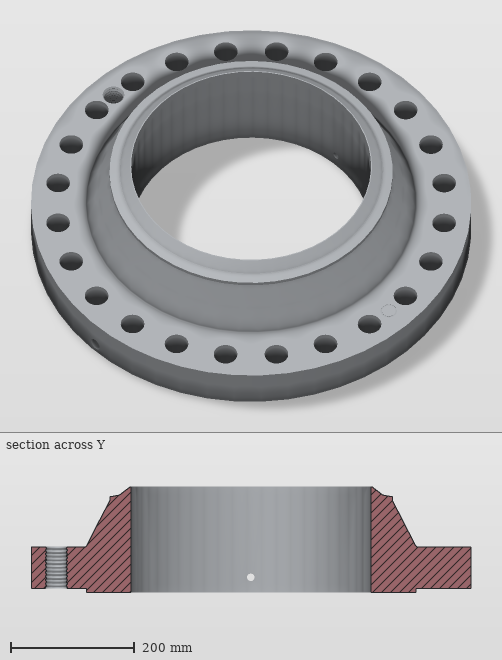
import cadquery as cq
import math

FLANGE_DIAMETER = 711.2
RAISED_FACE_DIAMETER = 533.4
RAISED_FACE_HEIGHT = 6.35
FLANGE_TOP = 74.6

TOTAL_HEIGHT = 171.45
HUB_BASE_DIAMETER = RAISED_FACE_DIAMETER
HUB_BASE_FILLET = 3.0
WELD_END_DIAMETER = 457.2
BORE_DIAMETER = 387.35
HUB_CYLINDER_BOTTOM = 149.0

WELD_LAND_WIDTH = 1.6
STEEP_BEVEL_WALL = 19.0
STEEP_BEVEL_ANGLE = 37.5
SHALLOW_BEVEL_ANGLE = 10.0
BEVEL_FILLET = 4.0

BOLT_HOLE_COUNT = 24
BOLT_HOLE_DIAMETER = 38.1
BOLT_CIRCLE_DIAMETER = 628.65

JACK_THREAD_MAJOR = 35.0
JACK_THREAD_MINOR = 31.0
JACK_THREAD_PITCH = 6.0

RING_GROOVE_OUTER = 26.5
RING_GROOVE_INNER = 22.0
RING_GROOVE_DEPTH = 0.5

TAP_HEIGHT = 24.5
TAP_BORE_DIAMETER = 12.0
TAP_THREAD_MAJOR = 20.9
TAP_THREAD_MINOR = 17.0
TAP_THREAD_PITCH = 1.814
TAP_THREAD_TURNS = 12

BORE_RADIUS = BORE_DIAMETER / 2
BOLT_CIRCLE_RADIUS = BOLT_CIRCLE_DIAMETER / 2
FLANGE_RADIUS = FLANGE_DIAMETER / 2


def bevel_drop(width, angle):
    """Axial drop of a bevel that spans a radial width."""
    return width * math.tan(math.radians(angle))


def fillet_circle(body, radius, height, fillet):
    """Round the circular edge that lies at a given radius and height."""
    margin = 0.1
    outer, inner = radius + margin, radius - margin
    edge = cq.selectors.BoxSelector(
        (-outer, -outer, height - margin), (outer, outer, height + margin), boundingbox=True
    )
    core = cq.selectors.BoxSelector(
        (-inner, -inner, height - margin), (inner, inner, height + margin), boundingbox=True
    )
    return body.edges(edge - core).fillet(fillet)


def make_body():
    """Revolved flange, hub and weld end, with the bore through the middle."""
    weld_end_radius = WELD_END_DIAMETER / 2
    hub_base_radius = HUB_BASE_DIAMETER / 2
    land_radius = BORE_RADIUS + WELD_LAND_WIDTH
    bevel_radius = BORE_RADIUS + STEEP_BEVEL_WALL
    bevel_break = TOTAL_HEIGHT - bevel_drop(bevel_radius - land_radius, STEEP_BEVEL_ANGLE)
    bevel_foot = bevel_break - bevel_drop(weld_end_radius - bevel_radius, SHALLOW_BEVEL_ANGLE)
    profile = [
        (BORE_RADIUS, 0),
        (RAISED_FACE_DIAMETER / 2, 0),
        (RAISED_FACE_DIAMETER / 2, RAISED_FACE_HEIGHT),
        (FLANGE_RADIUS, RAISED_FACE_HEIGHT),
        (FLANGE_RADIUS, FLANGE_TOP),
        (hub_base_radius, FLANGE_TOP),
        (weld_end_radius, HUB_CYLINDER_BOTTOM),
        (weld_end_radius, bevel_foot),
        (bevel_radius, bevel_break),
        (land_radius, TOTAL_HEIGHT),
        (BORE_RADIUS, TOTAL_HEIGHT),
    ]
    body = cq.Workplane("XZ").polyline(profile).close().revolve(360, (0, 0, 0), (0, 1, 0))
    body = fillet_circle(body, hub_base_radius, FLANGE_TOP, HUB_BASE_FILLET)
    return fillet_circle(body, bevel_radius, bevel_break, BEVEL_FILLET)


def bolt_holes():
    """Cutter for the ring of bolt holes."""
    half_pitch = 180 / BOLT_HOLE_COUNT
    return (
        cq.Workplane("XY")
        .polarArray(BOLT_CIRCLE_RADIUS, half_pitch, 360, BOLT_HOLE_COUNT)
        .circle(BOLT_HOLE_DIAMETER / 2)
        .extrude(FLANGE_TOP)
    )


def thread_cutter(major, minor, pitch, turns):
    """Cutter for a thread made of closed V-grooves, running along +Z from the origin."""
    outline = [(0, 0), (major / 2, 0)]
    for turn in range(turns):
        outline.append((minor / 2, (turn + 0.5) * pitch))
        outline.append((major / 2, (turn + 1) * pitch))
    outline.append((0, turns * pitch))
    return cq.Workplane("XZ").polyline(outline).close().revolve(360, (0, 0, 0), (0, 1, 0))


def jack_screw_hole():
    """Cutter for the threaded through hole, its first groove open at the flange top."""
    turns = math.ceil(FLANGE_TOP / JACK_THREAD_PITCH)
    cutter = thread_cutter(JACK_THREAD_MAJOR, JACK_THREAD_MINOR, JACK_THREAD_PITCH, turns)
    return cutter.translate((-BOLT_CIRCLE_RADIUS, 0, FLANGE_TOP - turns * JACK_THREAD_PITCH))


def ring_groove():
    """Cutter for the shallow ring groove in the flange top."""
    return (
        cq.Workplane("XY", origin=(BOLT_CIRCLE_RADIUS, 0, FLANGE_TOP - RING_GROOVE_DEPTH))
        .circle(RING_GROOVE_OUTER / 2)
        .circle(RING_GROOVE_INNER / 2)
        .extrude(RING_GROOVE_DEPTH)
    )


def pressure_tap(angle):
    """Cutter for a radial bore, threaded where it opens at the rim; angle is about Z from -Y."""
    bore = cq.Workplane("XY").circle(TAP_BORE_DIAMETER / 2).extrude(FLANGE_RADIUS)
    thread = thread_cutter(TAP_THREAD_MAJOR, TAP_THREAD_MINOR, TAP_THREAD_PITCH, TAP_THREAD_TURNS)
    cutter = bore.union(thread).rotate((0, 0, 0), (1, 0, 0), -90)
    cutter = cutter.translate((0, -FLANGE_RADIUS, TAP_HEIGHT))
    return cutter.rotate((0, 0, 0), (0, 0, 1), angle)


result = make_body().cut(bolt_holes()).cut(jack_screw_hole()).cut(ring_groove())
for tap_angle in (0, 180):
    result = result.cut(pressure_tap(tap_angle))